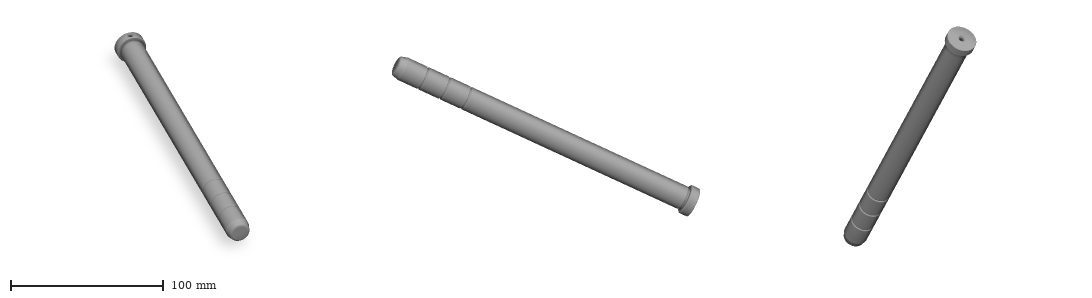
import cadquery as cq
import math

pin_length = 220.0
head_diameter = 20.0
head_radius = head_diameter / 2
head_length = 6.2
head_back_chamfer = 0.55
head_face_chamfer = 0.33

shank_diameter = 16.0
shank_radius = shank_diameter / 2

relief_depth = 0.55
relief_end = 8.1

groove_count = 3
first_groove_x = 168.3
groove_pitch = 15.8
groove_width = 2.0
groove_depth = 0.7

lead_in_length = 5.0
lead_in_radius = 7.0
nose_radius = 2.0

bore_radius = 1.3
mouth_radius = 2.5
drill_tip_angle = 118
face_hole_depth = 4.5
side_hole_depth = 3.5
side_hole_x = head_length / 2


def make_body():
    """Solid of revolution: head, relief groove, shank, lead-in and nose."""
    relief_radius = shank_radius - relief_depth
    nose_start = pin_length - nose_radius
    profile = (
        cq.Workplane("XZ")
        .moveTo(0, 0)
        .lineTo(0, head_radius - head_face_chamfer)
        .lineTo(head_face_chamfer, head_radius)
        .lineTo(head_length - head_back_chamfer, head_radius)
        .lineTo(head_length, head_radius - head_back_chamfer)
        .lineTo(head_length, relief_radius)
        .lineTo(relief_end - relief_depth, relief_radius)
        .radiusArc((relief_end, shank_radius), relief_depth)
        .lineTo(pin_length - lead_in_length, shank_radius)
        .lineTo(nose_start, lead_in_radius)
        .radiusArc((pin_length, lead_in_radius - nose_radius), nose_radius)
        .lineTo(pin_length, 0)
        .close()
    )
    return profile.revolve(360, (0, 0, 0), (1, 0, 0))


def make_ring_groove(x):
    """Ring centred at x: flat floor, 45 degree near side and far side rounded up from the floor."""
    floor_radius = shank_radius - groove_depth
    near_edge = x - groove_width / 2
    far_edge = x + groove_width / 2
    return (
        cq.Workplane("XZ")
        .moveTo(near_edge, shank_radius)
        .lineTo(near_edge + groove_depth, floor_radius)
        .lineTo(far_edge - groove_depth, floor_radius)
        .radiusArc((far_edge, shank_radius), groove_depth)
        .close()
        .revolve(360, (0, 0, 0), (1, 0, 0))
    )


def make_countersunk_hole(depth):
    """Blind hole entering at the origin and running along +X.

    The mouth is a 90 degree cone, continued outward as a cylinder to clear a curved surface.
    """
    countersink_depth = mouth_radius - bore_radius
    tip_length = bore_radius / math.tan(math.radians(drill_tip_angle / 2))
    return (
        cq.Workplane("XZ")
        .moveTo(-mouth_radius, 0)
        .lineTo(-mouth_radius, mouth_radius)
        .lineTo(0, mouth_radius)
        .lineTo(countersink_depth, bore_radius)
        .lineTo(depth, bore_radius)
        .lineTo(depth + tip_length, 0)
        .close()
        .revolve(360, (0, 0, 0), (1, 0, 0))
    )


face_hole = make_countersunk_hole(face_hole_depth)
side_hole = (
    make_countersunk_hole(side_hole_depth)
    .rotate((0, 0, 0), (0, 1, 0), 90)
    .translate((side_hole_x, 0, head_radius))
)

result = make_body()
for index in range(groove_count):
    result = result.cut(make_ring_groove(first_groove_x + index * groove_pitch))
result = result.cut(face_hole).cut(side_hole)